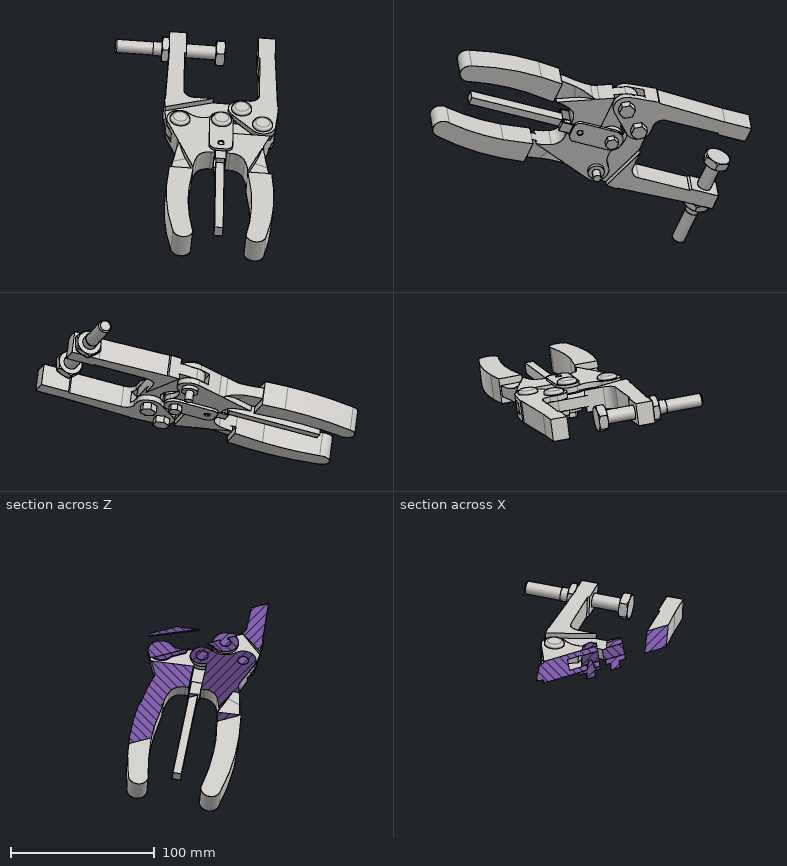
import cadquery as cq
import math


tilt = 10.2
tilt_heading = -21.0
long_axis_heading = -50.3

tongue_half = 4.0
body_half = 8.0
grip_half = 9.0
link_plate = 2.0
link_half = body_half + link_plate
past_body = 40.0

pivot_y = 28.85
hinge = (-15.0, 14.0)
lobe_r = 9.2
shaft_r = 4.0
head_r = 7.0
head_height = 2.5
head_round = 2.1
washer_r = 5.7
washer_height = 2.5
stub_r = 2.8
stub_height = 7.0
pin_nut_flats = 10.0
pin_nut_height = 5.0
toggle_nut_flats = 8.0
toggle_nut_height = 4.5

jaw_tip_x = -91.2
pad_end_x = -71.0
pad_inner_y = 25.0
arm_inner_y = 26.3
tip_outer_y = 37.0
arm_end = (-21.0, 39.2)
root_outer = (-20.1, 39.9)
pad_slope = 1.3
throat_x = hinge[0] - lobe_r
throat_round = 7.0
jaw_slot_reach = 14.5
step_inner_y = -5.5
step_outer_x = -12.0

toggle_lobe_r = 8.25
waist_r = 13.5
hem_angle = 21.9
shoulder_x = 11.0
handle_gap = 4.2
cleft_x = 32.0
grip_x = 51.4
neck_inner_y = 19.1
neck_outer_y = 34.9
ramp_radius = 23.5

link_half_width = toggle_lobe_r
link_end_x = 30.0
link_corner = 5.0
link_hole_x = 23.6
link_hole_d = 4.2
link_hole_depth = 1.0
strap_half_width = 3.75
strap_start_x = 20.0
strap_end_x = 38.0
strap_thickness = 1.0
rod_end_x = 105.8
rod_width = 6.0

bolt_x = (jaw_tip_x + pad_end_x) / 2
bolt_d = 10.0
hex_flats = 17.0
head_under_y = -4.3
bolt_head_height = 6.4
bolt_length = 70.0
thread_start_y = -48.0
thread_d = 9.4
hex_turn = 9.0
bolt_chamfer = 1.0
nut_height = 5.0


def slab(outline, bottom, top):
    """Extrude a closed outline between two heights."""
    return outline.extrude(top - bottom).translate((0, 0, bottom))


def disc(x, y, radius, bottom, top):
    return slab(cq.Workplane("XY").center(x, y).circle(radius), bottom, top)


def block(x0, x1, y0, y1, z0, z1):
    return cq.Workplane("XY").box(x1 - x0, y1 - y0, z1 - z0, centered=False).translate((x0, y0, z0))


def mirrored(body):
    return body.mirror("XZ")


def pin(x, y, half):
    """Pivot pin with a rounded head on top, ending flush below."""
    shaft = disc(x, y, shaft_r, -half, half)
    head = disc(x, y, head_r, half, half + head_height).faces(">Z").edges().fillet(head_round)
    return shaft.union(head)


def pin_nut(x, y, half, flats, height):
    """Hexagonal foot below a pin, with two of its flats square to X."""
    corners = flats / math.cos(math.radians(30))
    foot = cq.Workplane("XY").polygon(6, corners).extrude(height)
    return foot.rotate((0, 0, 0), (0, 0, 1), 30).translate((x, y, -half - height))


def strip(start, end, half_width):
    """Closed outline of the band around the line between two points, with square ends."""
    angle = math.degrees(math.atan2(end[1] - start[1], end[0] - start[0]))
    length = math.dist(start, end)
    middle = ((start[0] + end[0]) / 2, (start[1] + end[1]) / 2, 0)
    return cq.Workplane("XY").transformed(offset=middle, rotate=(0, 0, angle)).rect(length, 2 * half_width)


def root_touch():
    """Point where the upper jaw's outer edge, running on from the root, touches the pivot lobe."""
    dx, dy = root_outer[0], root_outer[1] - pivot_y
    angle = math.atan2(dy, dx) - math.acos(lobe_r / math.hypot(dx, dy))
    return (lobe_r * math.cos(angle), pivot_y + lobe_r * math.sin(angle))


def arm(root_points):
    """Upper jaw arm from the tip to its root, closed through the given root points."""
    points = [
        (throat_x, arm_inner_y), (pad_end_x + pad_slope, arm_inner_y), (pad_end_x, pad_inner_y),
        (jaw_tip_x, pad_inner_y), (jaw_tip_x, tip_outer_y), (pad_end_x, tip_outer_y), arm_end, root_outer,
    ]
    return slab(cq.Workplane("XY").polyline(points + root_points).close(), -body_half, body_half)


def round_throat(jaw, side):
    """Round the inside corner between arm and throat."""
    centre = (throat_x, side * arm_inner_y)
    corner = cq.selectors.BoxSelector((centre[0] - 0.1, centre[1] - 0.1, -past_body),
                                      (centre[0] + 0.1, centre[1] + 0.1, past_body))
    return jaw.edges(corner).fillet(throat_round)


def make_upper_jaw():
    pivot = (0, pivot_y)
    body = arm([root_touch(), pivot, hinge, (throat_x, hinge[1])])
    body = body.union(disc(*pivot, lobe_r, -body_half, body_half))
    body = body.union(disc(*hinge, lobe_r, -body_half, body_half))
    body = body.union(slab(strip(hinge, pivot, lobe_r), -body_half, body_half))
    body = round_throat(body, 1)
    slope = math.atan2(pivot_y - hinge[1], -hinge[0])
    run = (past_body * math.cos(slope), past_body * math.sin(slope))
    slot = strip((hinge[0] - run[0], hinge[1] - run[1]), (run[0], pivot_y + run[1]), jaw_slot_reach)
    body = body.cut(slab(slot, -tongue_half, tongue_half))
    for place in (hinge, pivot):
        body = body.union(pin(*place, body_half))
        body = body.union(pin_nut(*place, body_half, pin_nut_flats, pin_nut_height))
    return body


def make_lower_jaw():
    pivot = (0, -pivot_y)
    step_inner = (throat_x, step_inner_y)
    touch = root_touch()
    edge_slope = (touch[1] - root_outer[1]) / (touch[0] - root_outer[0])
    step_outer_y = root_outer[1] + edge_slope * (step_outer_x - root_outer[0])
    body = mirrored(arm([(step_outer_x, step_outer_y), (throat_x, -step_inner_y)]))
    body = round_throat(body, -1)
    tongue_outline = cq.Workplane("XY").polyline(
        [step_inner, (throat_x, hinge[1]), hinge, (pivot[0] + lobe_r, pivot[1]), pivot,
         (touch[0], -touch[1]), (step_outer_x, -step_outer_y)]).close()
    tongue = slab(tongue_outline, -tongue_half, tongue_half)
    tongue = tongue.union(disc(*hinge, lobe_r, -tongue_half, tongue_half))
    tongue = tongue.union(disc(*pivot, lobe_r, -tongue_half, tongue_half))
    toggle_clearance = math.hypot(*hinge) - lobe_r
    tongue = tongue.cut(disc(0, 0, toggle_clearance, -tongue_half, tongue_half))
    body = body.union(tongue)
    body = body.cut(disc(*hinge, shaft_r, -body_half, body_half))
    body = body.cut(disc(*pivot, shaft_r, -body_half, body_half))
    bolt_hole = cq.Workplane("XZ").center(bolt_x, 0).circle(bolt_d / 2).extrude(past_body + pivot_y)
    return body.cut(bolt_hole)


hem_sin = math.sin(math.radians(hem_angle))
hem_cos = math.cos(math.radians(hem_angle))
hem_touch = (lobe_r * hem_sin, pivot_y + lobe_r * hem_cos)
ramp_drop = body_half - tongue_half
ramp_length = math.sqrt(ramp_radius ** 2 - (ramp_radius - ramp_drop) ** 2)
hem_end = 18.9
ramp_start = 22.5


def on_hem(distance):
    return (hem_touch[0] + distance * hem_cos, hem_touch[1] - distance * hem_sin)


def toward(start, end, distance):
    share = distance / math.dist(start, end)
    return (start[0] + share * (end[0] - start[0]), start[1] + share * (end[1] - start[1]))


def handle_plate():
    """Upper handle without its grip, at full thickness."""
    to_toggle = waist_r + toggle_lobe_r
    to_pivot = waist_r + lobe_r
    waist_y = (pivot_y ** 2 + to_toggle ** 2 - to_pivot ** 2) / (2 * pivot_y)
    waist_x = -math.sqrt(to_toggle ** 2 - waist_y ** 2)
    waist_centre = (waist_x, waist_y)
    waist_top = toward(waist_centre, (0, pivot_y), waist_r)
    waist_bottom = toward(waist_centre, (0, 0), waist_r)
    inner_start = (math.sqrt(toggle_lobe_r ** 2 - handle_gap ** 2), handle_gap)
    outline = (
        cq.Workplane("XY")
        .moveTo(*inner_start)
        .lineTo(cleft_x, handle_gap)
        .lineTo(cleft_x, 6.5)
        .threePointArc((33.9, 13.2), (38.5, 16.7))
        .threePointArc((44.5, 18.5), (grip_x, neck_inner_y))
        .lineTo(grip_x, neck_outer_y)
        .threePointArc((38.0, 32.8), (25.9, 30.0))
        .threePointArc((23.4, 29.7), on_hem(hem_end))
        .lineTo(*hem_touch)
        .threePointArc((-lobe_r * hem_sin, pivot_y + lobe_r * hem_cos), waist_top)
        .threePointArc((waist_x + waist_r, waist_y), waist_bottom)
        .threePointArc((0, -toggle_lobe_r), inner_start)
        .close()
    )
    return slab(outline, -body_half, body_half)


def neck_relief():
    """Cutter that lowers the top of the neck outside the hem, down a concave ramp."""
    hem = cq.Plane(origin=(*on_hem(ramp_start), 0), xDir=(hem_cos, -hem_sin, 0), normal=(-hem_sin, -hem_cos, 0))
    side = (
        cq.Workplane(hem)
        .moveTo(0, -body_half)
        .threePointArc(
            (ramp_length / 2, -tongue_half - ramp_radius
             + math.sqrt(ramp_radius ** 2 - (ramp_length / 2) ** 2)),
            (ramp_length, -tongue_half))
        .lineTo(past_body, -tongue_half)
        .lineTo(past_body, -grip_half)
        .lineTo(0, -grip_half)
        .close()
    )
    return side.extrude(-past_body)


def grip():
    outline = (
        cq.Workplane("XY")
        .moveTo(grip_x, 19.1)
        .lineTo(72.8, 21.8)
        .threePointArc((92.0, 21.9), (114.5, 19.0))
        .threePointArc((123.9, 25.0), (118.3, 32.5))
        .threePointArc((92.0, 37.0), (67.8, 37.4))
        .lineTo(grip_x, 35.9)
        .close()
    )
    return slab(outline, -grip_half, grip_half)


def handle_blank():
    relief = neck_relief()
    plate = handle_plate().cut(relief).cut(relief.mirror("XY"))
    return plate.union(grip())


def make_upper_handle():
    """Handle whose thin tongue lies inside the upper jaw and the lower handle."""
    body = handle_blank()
    for bottom, top in ((tongue_half, past_body), (-past_body, -tongue_half)):
        body = body.cut(block(-past_body, shoulder_x, -past_body, 2 * past_body, bottom, top))
    for y in (0, pivot_y):
        body = body.cut(disc(0, y, shaft_r, -body_half, body_half))
    return body


def make_lower_handle():
    """Handle whose fork straddles the lower jaw and the upper handle."""
    body = mirrored(handle_blank())
    body = body.cut(block(-past_body, shoulder_x, -2 * past_body, past_body, -tongue_half, tongue_half))
    body = body.cut(disc(0, 0, shaft_r, -body_half, body_half))
    washer_bottom = -body_half - washer_height
    body = body.union(pin(0, -pivot_y, body_half))
    body = body.union(disc(0, -pivot_y, washer_r, washer_bottom, -body_half))
    return body.union(disc(0, -pivot_y, stub_r, washer_bottom - stub_height, washer_bottom))


def make_link():
    """Two plates on the toggle pin, whose straps fold in behind the handles to hold the rod."""
    plate = disc(0, 0, link_half_width, body_half, link_half)
    tail = block(0, link_end_x, -link_half_width, link_half_width, body_half, link_half)
    plate = plate.union(tail.edges("|Z and >X").fillet(link_corner))
    plate = plate.cut(disc(link_hole_x, 0, link_hole_d / 2, link_half - link_hole_depth, link_half))
    strap_bottom = body_half - strap_thickness
    strap = block(strap_start_x, strap_end_x, -strap_half_width, strap_half_width, strap_bottom, body_half)
    side = plate.union(strap)
    fold_x = strap_end_x - strap_thickness
    fold = block(fold_x, strap_end_x, -rod_width / 2, rod_width / 2, -body_half, body_half)
    rod = block(fold_x, rod_end_x, -rod_width / 2, rod_width / 2, -tongue_half, tongue_half)
    body = pin(0, 0, link_half).union(pin_nut(0, 0, link_half, toggle_nut_flats, toggle_nut_height))
    return body.union(side).union(side.mirror("XY")).union(fold).union(rod)


def rod_along_bolt(y, diameter, length):
    """Cylinder on the bolt axis, from y towards -Y."""
    return cq.Workplane("XZ", origin=(bolt_x, y, 0)).circle(diameter / 2).extrude(length)


def hexagon(y, height):
    """Hexagonal prism on the bolt axis, from y towards -Y, with both ends chamfered to a circle."""
    across_corners = hex_flats / math.cos(math.radians(30))
    turn = math.radians(hex_turn)
    plane = cq.Plane(origin=(bolt_x, y, 0), xDir=(-math.sin(turn), 0, math.cos(turn)), normal=(0, -1, 0))
    prism = cq.Workplane(plane).polygon(6, across_corners).extrude(height)
    rise = (across_corners - hex_flats) / 2 * math.tan(math.radians(30))
    rounding = rod_along_bolt(y, across_corners, height)
    rounding = rounding.faces("<Y or >Y").chamfer(rise, (across_corners - hex_flats) / 2)
    return prism.intersect(rounding)


def make_bolt():
    head = hexagon(head_under_y + bolt_head_height, bolt_head_height)
    shank = rod_along_bolt(head_under_y, bolt_d, head_under_y - thread_start_y)
    thread = rod_along_bolt(thread_start_y, thread_d, bolt_length - head_under_y + thread_start_y)
    return head.union(shank).union(thread.faces("<Y").chamfer(bolt_chamfer))


def make_nut():
    return hexagon(-tip_outer_y, nut_height).cut(rod_along_bolt(-tip_outer_y, bolt_d, nut_height))


def clamp_plane():
    """Plane whose axes are the clamp's axes, turned to its heading and tilt."""
    lean, lean_to, turn = (math.radians(a) for a in (tilt, tilt_heading, long_axis_heading))
    normal = (math.sin(lean) * math.cos(lean_to), math.sin(lean) * math.sin(lean_to), math.cos(lean))
    along = (math.cos(turn), math.sin(turn))
    rise = -(normal[0] * along[0] + normal[1] * along[1]) / normal[2]
    return cq.Plane(origin=(0, 0, 0), xDir=(*along, rise), normal=normal)


upper_jaw = make_upper_jaw()
lower_jaw = make_lower_jaw()
upper_handle = make_upper_handle()
lower_handle = make_lower_handle()
link = make_link()
bolt = make_bolt()
nut = make_nut()

placement = cq.Location(clamp_plane())
bodies = [upper_jaw, lower_jaw, upper_handle, lower_handle, link, bolt, nut]
result = cq.Compound.makeCompound([body.val().moved(placement) for body in bodies])